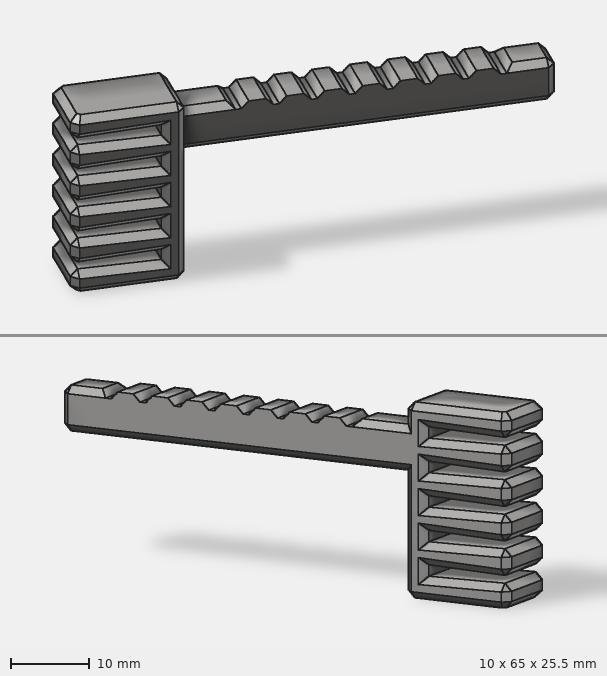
import cadquery as cq

total_length = 65.0
chamfer = 1.0

head_width = 10.0
head_length = 15.0
head_height = 25.5
head_back_wall = 3.0
slot_count = 5
slot_pitch = 4.5
slot_mouth_height = 1.0
slot_root_height = 1.5

handle_size = 6.0
handle_drop = 3.0
handle_overlap = 2 * chamfer
handle_top = head_height - handle_drop
handle_bottom = handle_top - handle_size

ridge_count = 7
ridge_pitch = 5.0
groove_floor_length = 0.8
end_pad_length = 5.5
grip_floor = handle_top - chamfer
ridge_base_length = ridge_pitch - groove_floor_length
grip_length = ridge_count * ridge_pitch + groove_floor_length
grip_back = total_length - end_pad_length - chamfer
grip_front = grip_back - grip_length


def make_head_blank():
    """Sharp head block."""
    return cq.Workplane("XY").box(head_width, head_length, head_height, centered=False)


def make_head_envelope():
    """Outer head shape; the front bevels wrap around the chamfered front corners."""
    blank = make_head_blank().edges("|Z and <Y").chamfer(chamfer)
    bevelled_edges = "|Z and >Y or (#Z and (>Z or <Z))"
    return blank.edges(bevelled_edges).chamfer(chamfer)


def make_comb():
    """Block with tapered slots and chamfered slot rims and tooth corners."""
    slot_root = head_length - head_back_wall
    comb = make_head_blank()
    for index in range(slot_count):
        slot_z = head_height / 2 + (index - (slot_count - 1) / 2) * slot_pitch
        slot = (
            cq.Workplane("YZ")
            .moveTo(0, slot_z - slot_mouth_height / 2)
            .lineTo(slot_root, slot_z - slot_root_height / 2)
            .lineTo(slot_root, slot_z + slot_root_height / 2)
            .lineTo(0, slot_z + slot_mouth_height / 2)
            .close()
            .extrude(head_width)
        )
        comb = comb.cut(slot)
    tooth_edges = cq.selectors.BoxSelector(
        (-chamfer, -chamfer, chamfer),
        (head_width + chamfer, slot_root + chamfer, head_height - chamfer),
    )
    root_corners = cq.selectors.BoxSelector(
        (chamfer, slot_root - chamfer, chamfer),
        (head_width - chamfer, slot_root + chamfer, head_height - chamfer),
    )
    return comb.edges(tooth_edges - root_corners).chamfer(chamfer)


def make_trapezoid(front, base_length, top_length):
    """Prism across the handle, one chamfer high, standing on the grip floor."""
    top_front = front + (base_length - top_length) / 2
    return (
        cq.Workplane("YZ")
        .moveTo(front, grip_floor)
        .lineTo(front + base_length, grip_floor)
        .lineTo(top_front + top_length, handle_top)
        .lineTo(top_front, handle_top)
        .close()
        .extrude(handle_size)
    )


def make_handle():
    """Chamfered bar whose top is lowered along the grip and carries the ridges."""
    front = head_length - handle_overlap
    bar = (
        cq.Workplane("XY", origin=(0, front, handle_bottom))
        .box(handle_size, total_length - front, handle_size, centered=False)
        .edges()
        .chamfer(chamfer)
    )
    handle = bar.cut(make_trapezoid(grip_front, grip_length, grip_length + 2 * chamfer))
    for index in range(ridge_count):
        ridge_front = grip_front + groove_floor_length + index * ridge_pitch
        ridge = make_trapezoid(ridge_front, ridge_base_length, ridge_base_length - 2 * chamfer)
        handle = handle.union(ridge)
    return handle


head = make_head_envelope().intersect(make_comb())
result = head.union(make_handle())